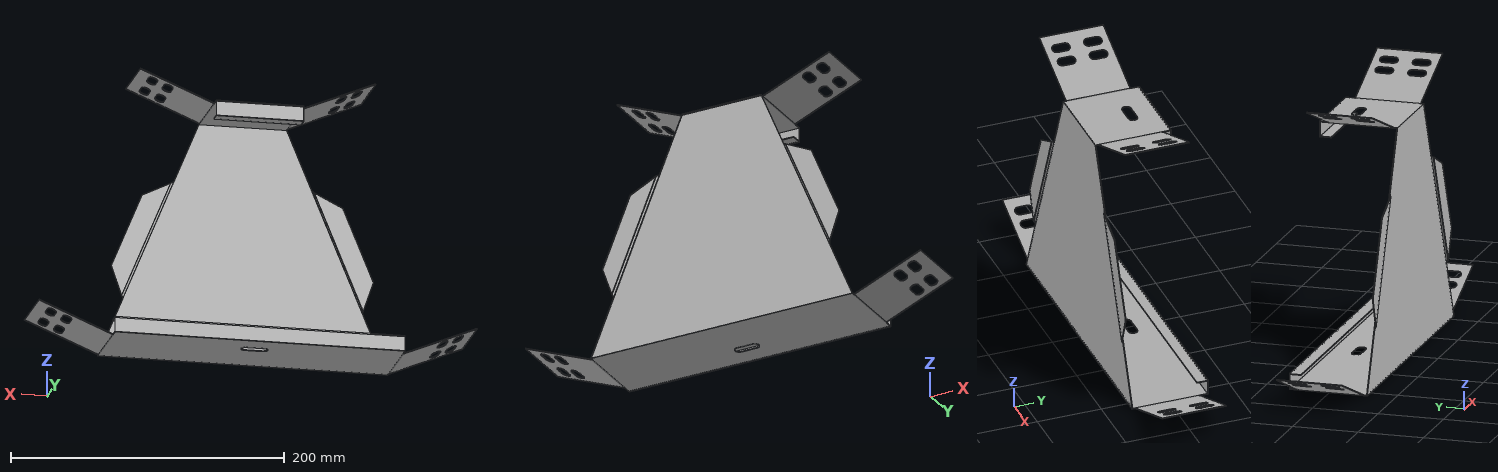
import cadquery as cq
import math

SHEET = 0.7
OVERALL_WIDTH = 327.77
OVERALL_HEIGHT = 205.77
OVERALL_DEPTH = 60.9
SIDE_ANGLE = 22.5
JOGGLE_RISE = 1.3
DEPTH = OVERALL_DEPTH - JOGGLE_RISE

TAB_LENGTH = 59.7
TAB_WIDTH = 50.0
TAB_CENTRE_Y = 27.5
TAB_SLOT_LENGTH = 14.0
TAB_SLOT_WIDTH = 7.0
TAB_SLOT_END_GAP = 12.5
TAB_SLOT_PITCH_ALONG = 12.5
TAB_SLOT_PITCH_ACROSS = 25.0

TILT = math.radians(SIDE_ANGLE)
TAB_REACH = TAB_LENGTH * math.cos(TILT) + SHEET * math.sin(TILT)
TAB_RISE = TAB_LENGTH * math.sin(TILT)
HEIGHT = OVERALL_HEIGHT - TAB_RISE
BASE_WIDTH = OVERALL_WIDTH - 2 * TAB_REACH
TOP_WIDTH = BASE_WIDTH - 2 * HEIGHT * math.tan(TILT)

LIP_HEIGHT = 12.0
LIP_RETURN = 8.9

FIXING_SLOT_LENGTH = 20.0
FIXING_SLOT_WIDTH = 7.0
FIXING_SLOT_Y = 39.6

FLAP_LENGTH = 99.5
FLAP_DEPTH = 17.4
FLAP_CORNER_INSET = 19.75
JOGGLE_RUN = 1.6
FLAP_LOW_END = 49.4


def mirrored(body):
    """Join a body with its mirror image across the YZ plane."""
    return body.union(body.mirror("YZ"))


def block(width, y_start, y_end, z_start, z_end):
    """Box centred on X between the given Y and Z limits."""
    return (
        cq.Workplane("XY", origin=(0, y_start, z_start))
        .box(width, y_end - y_start, z_end - z_start, centered=(True, False, False))
    )


def make_web():
    """Trapezoidal front sheet."""
    outline = [
        (-BASE_WIDTH / 2, 0),
        (BASE_WIDTH / 2, 0),
        (TOP_WIDTH / 2, HEIGHT),
        (-TOP_WIDTH / 2, HEIGHT),
    ]
    return cq.Workplane("XZ").polyline(outline).close().extrude(-SHEET)


def make_flange(width, outer_z, inward):
    """Flange with its returned lip; inward is +1 or -1 along Z."""
    def layer(y_start, y_end, z_from, z_to):
        levels = sorted((outer_z + inward * z_from, outer_z + inward * z_to))
        return block(width, y_start, y_end, *levels)

    sheet = layer(0, DEPTH, 0, SHEET)
    back = layer(DEPTH - SHEET, DEPTH, 0, LIP_HEIGHT)
    lip = layer(DEPTH - LIP_RETURN, DEPTH, LIP_HEIGHT - SHEET, LIP_HEIGHT)
    return sheet.union(back).union(lip)


def make_tab(corner_x, corner_z):
    """Slotted tab on the +X side, its upper face rising from the upper end corner of a flange."""
    tab = (
        cq.Workplane("XY", origin=(0, 0, -SHEET))
        .box(TAB_LENGTH, TAB_WIDTH, SHEET, centered=(False, True, False))
    )
    slot_centre = TAB_LENGTH - TAB_SLOT_END_GAP - TAB_SLOT_PITCH_ALONG / 2
    slots = (
        cq.Workplane("XY")
        .center(slot_centre, 0)
        .rarray(TAB_SLOT_PITCH_ALONG, TAB_SLOT_PITCH_ACROSS, 2, 2)
        .slot2D(TAB_SLOT_LENGTH, TAB_SLOT_WIDTH, 90)
        .extrude(-SHEET)
    )
    tilted_tab = tab.cut(slots).rotate((0, 0, 0), (0, 1, 0), -SIDE_ANGLE)
    bend_outline = [
        (0, 0),
        (SHEET * math.sin(TILT), -SHEET * math.cos(TILT)),
        (0, -SHEET),
    ]
    bend = cq.Workplane("XZ").polyline(bend_outline).close().extrude(TAB_WIDTH / 2, both=True)
    return tilted_tab.union(bend).translate((corner_x, TAB_CENTRE_Y, corner_z))


def make_flap():
    """Flap on the +X side, ramped forward from the web edge."""
    section = [
        (0, 0),
        (JOGGLE_RUN, -JOGGLE_RISE),
        (FLAP_DEPTH, -JOGGLE_RISE),
        (FLAP_DEPTH, SHEET - JOGGLE_RISE),
        (JOGGLE_RUN, SHEET - JOGGLE_RISE),
        (0, SHEET),
    ]
    outline = [
        (0, 0),
        (FLAP_DEPTH, FLAP_CORNER_INSET),
        (FLAP_DEPTH, FLAP_LENGTH - FLAP_CORNER_INSET),
        (0, FLAP_LENGTH),
    ]
    strip = cq.Workplane("XY").polyline(section).close().extrude(FLAP_LENGTH)
    trim = cq.Workplane("XZ").polyline(outline).close().extrude(JOGGLE_RISE, both=True)
    return (
        strip.intersect(trim)
        .translate((0, 0, FLAP_LOW_END))
        .rotate((0, 0, 0), (0, 1, 0), -SIDE_ANGLE)
        .translate((BASE_WIDTH / 2, 0, 0))
    )


def make_fixing_slot():
    """Cutter for the slot that passes through both flanges."""
    return (
        cq.Workplane("XY")
        .center(0, FIXING_SLOT_Y)
        .slot2D(FIXING_SLOT_LENGTH, FIXING_SLOT_WIDTH)
        .extrude(HEIGHT)
    )


result = make_web()
result = result.union(make_flange(BASE_WIDTH, 0, 1))
result = result.union(make_flange(TOP_WIDTH, HEIGHT, -1))
result = result.union(mirrored(make_tab(BASE_WIDTH / 2, SHEET)))
result = result.union(mirrored(make_tab(TOP_WIDTH / 2, HEIGHT)))
result = result.union(mirrored(make_flap()))
result = result.cut(make_fixing_slot())